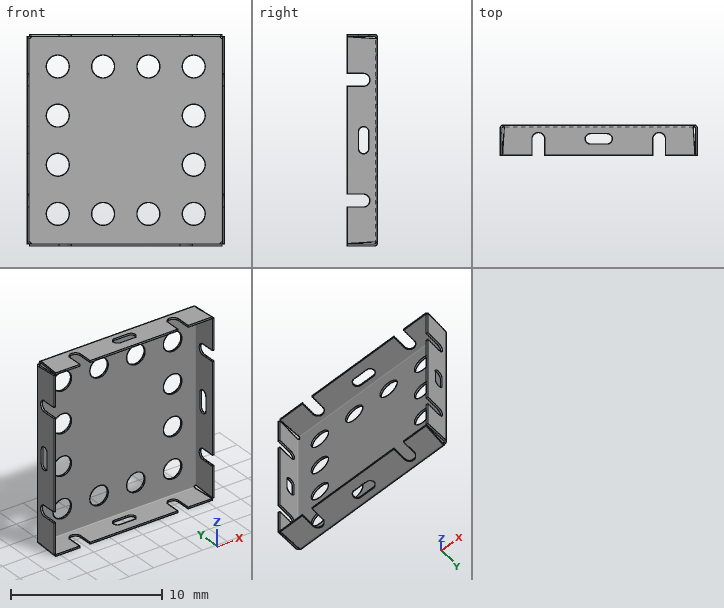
import cadquery as cq

width = 13.07
depth = 2.0
height = 14.02

sheet = 0.14
bend_outer_radius = 0.2
bend_inner_radius = bend_outer_radius - sheet

bend_end_inset = 0.27
free_end_inset = 0.15

hole_diameter = 1.5
hole_columns = 4
hole_rows = 4
hole_pitch_x = 3.0
hole_pitch_z = 3.25

notch_width = 0.84
notch_depth = 1.5
notch_offset = 4.0
slot_length = 1.78
slot_width = 0.67
slot_to_free_edge = 1.1

bend_start = depth - bend_outer_radius


def make_floor():
    """Flat floor between the bends, its corners clipped where the bends end."""
    corner_clip = bend_end_inset - bend_outer_radius
    floor = (
        cq.Workplane("XZ", origin=(0, depth, 0))
        .rect(width - 2 * bend_outer_radius, height - 2 * bend_outer_radius)
        .extrude(sheet)
        .edges("|Y")
        .chamfer(corner_clip)
    )

    def on_border(column, row):
        return column in (0, hole_columns - 1) or row in (0, hole_rows - 1)

    hole_centres = [
        (
            (column - (hole_columns - 1) / 2) * hole_pitch_x,
            (row - (hole_rows - 1) / 2) * hole_pitch_z,
        )
        for column in range(hole_columns)
        for row in range(hole_rows)
        if on_border(column, row)
    ]
    holes = (
        cq.Workplane("XZ", origin=(0, depth, 0))
        .pushPoints(hole_centres)
        .circle(hole_diameter / 2)
        .extrude(sheet)
    )
    return floor.cut(holes)


def make_bend(length, outer_z):
    """Quarter-round bend along X, joining the floor to a flange at Z = outer_z."""
    axis_z = outer_z - bend_outer_radius
    quarter = (
        cq.Workplane("YZ", origin=(-length / 2, bend_start, axis_z))
        .rect(bend_outer_radius, bend_outer_radius, centered=False)
        .extrude(length)
    )
    ring = (
        cq.Workplane("YZ", origin=(-length / 2, bend_start, axis_z))
        .circle(bend_outer_radius)
        .circle(bend_inner_radius)
        .extrude(length)
    )
    return ring.intersect(quarter)


def make_flange(span, outer_z):
    """Flange on the +Z side of a tray that is span wide, with its bend."""
    bend_half = span / 2 - bend_end_inset
    free_half = span / 2 - free_end_inset
    top = cq.Workplane("XY", origin=(0, 0, outer_z))

    plate = (
        top.moveTo(-free_half, 0)
        .lineTo(free_half, 0)
        .lineTo(bend_half, bend_start)
        .lineTo(-bend_half, bend_start)
        .close()
        .extrude(-sheet)
    )

    notch_length = 2 * notch_depth
    notches = (
        top.pushPoints([(-notch_offset, 0), (notch_offset, 0)])
        .slot2D(notch_length, notch_width, 90)
        .extrude(-sheet)
    )
    slot = top.center(0, slot_to_free_edge).slot2D(slot_length, slot_width).extrude(-sheet)

    return plate.cut(notches).cut(slot).union(make_bend(2 * bend_half, outer_z))


def turn_about_y(solid, angle):
    return solid.rotate((0, 0, 0), (0, 1, 0), angle)


end_flange = make_flange(width, height / 2)
side_flange = make_flange(height, width / 2)

result = make_floor()
for angle in (0, 180):
    result = result.union(turn_about_y(end_flange, angle))
    result = result.union(turn_about_y(side_flange, angle + 90))